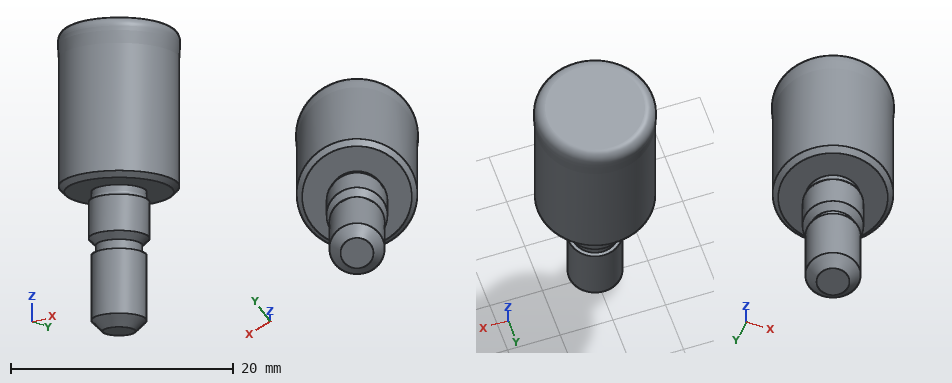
import cadquery as cq
import math

length = 28.0

cap_diameter = 11.0
cap_radius = cap_diameter / 2
body_radius = 5.43
collar_radius = 2.75
pin_radius = 2.5
groove_radius = 2.1

cap_fillet = 1.0
body_chamfer = 0.5
flare_radius = 0.3
tip_chamfer = 1.0

pin_top = 7.05
groove_top = 8.0
collar_top = 12.05
body_bottom = 13.0
taper_bottom = 25.4
taper_top = 26.57

collar_bottom = groove_top + collar_radius - groove_radius

slope_angle = math.radians(45)
flare_width = flare_radius * (1 - math.cos(slope_angle))
flare_height = flare_radius * math.sin(slope_angle)
cone_height = collar_radius - pin_radius - flare_width
flare_start = collar_top + cone_height + flare_height


def flare_point(angle):
    """Point on the neck flare, turned by angle from where it leaves the neck."""
    radius = pin_radius + flare_radius * (1 - math.cos(angle))
    height = flare_start - flare_radius * math.sin(angle)
    return radius, height


cap_arc_inset = cap_fillet * (1 - math.sqrt(0.5))
cap_arc_mid = (cap_radius - cap_arc_inset, length - cap_arc_inset)

profile = (
    cq.Workplane("XZ")
    .moveTo(0, 0)
    .lineTo(pin_radius - tip_chamfer, 0)
    .lineTo(pin_radius, tip_chamfer)
    .lineTo(pin_radius, pin_top)
    .lineTo(groove_radius, pin_top)
    .lineTo(groove_radius, groove_top)
    .lineTo(collar_radius, collar_bottom)
    .lineTo(collar_radius, collar_top)
    .lineTo(*flare_point(slope_angle))
    .threePointArc(flare_point(slope_angle / 2), flare_point(0))
    .lineTo(pin_radius, body_bottom)
    .lineTo(body_radius - body_chamfer, body_bottom)
    .lineTo(body_radius, body_bottom + body_chamfer)
    .lineTo(body_radius, taper_bottom)
    .lineTo(cap_radius, taper_top)
    .lineTo(cap_radius, length - cap_fillet)
    .threePointArc(cap_arc_mid, (cap_radius - cap_fillet, length))
    .lineTo(0, length)
    .close()
)

result = profile.revolve(360, (0, 0, 0), (0, 1, 0))